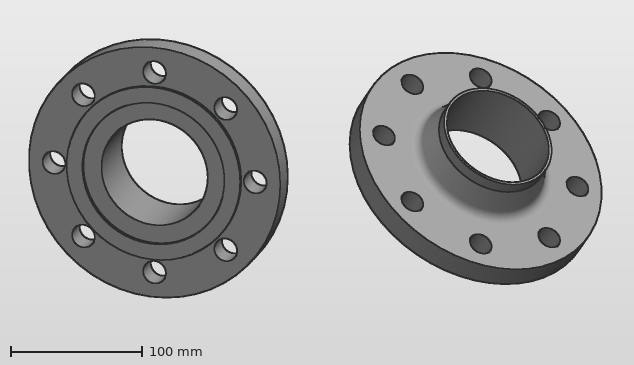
import cadquery as cq

flange_diameter = 200.0
flange_thickness = 20.0
face_diameter = 138.0
face_height = 3.0
recess_diameter = 113.0
recess_depth = 3.0
bore_diameter = 84.5

total_length = 56.0
neck_diameter = 89.0
neck_length = 10.0
hub_base_diameter = 105.0
hub_fillet = 8.0

bolt_count = 8
bolt_circle_diameter = 160.0
bolt_hole_diameter = 18.0

flange_front = face_height
flange_back = flange_front + flange_thickness
neck_start = total_length - neck_length


def disc(diameter, start, end):
    """Cylinder about the Y axis from y = start to y = end."""
    plane = cq.Plane(origin=(0, start, 0), xDir=(1, 0, 0), normal=(0, 1, 0))
    return cq.Workplane(plane).circle(diameter / 2).extrude(end - start)


def flange_body():
    """Revolved plate, raised face, tapered hub and weld neck."""
    profile = (
        cq.Workplane("XY")
        .polyline([
            (0, 0),
            (face_diameter / 2, 0),
            (face_diameter / 2, flange_front),
            (flange_diameter / 2, flange_front),
            (flange_diameter / 2, flange_back),
            (hub_base_diameter / 2, flange_back),
            (neck_diameter / 2, neck_start),
            (neck_diameter / 2, total_length),
            (0, total_length),
        ])
        .close()
    )
    body = profile.revolve(360, (0, 0, 0), (0, 1, 0))
    root_edges = (
        body.edges("%CIRCLE")
        .filter(lambda edge: abs(edge.Center().y - flange_back) < 0.002)
        .sort(lambda edge: edge.radius())[0]
    )
    return root_edges.fillet(hub_fillet)


def bolt_holes():
    """Ring of through holes with one hole on the +X axis."""
    plane = cq.Plane(origin=(0, flange_front, 0), xDir=(1, 0, 0), normal=(0, 1, 0))
    return (
        cq.Workplane(plane)
        .polarArray(bolt_circle_diameter / 2, 0, 360, bolt_count)
        .circle(bolt_hole_diameter / 2)
        .extrude(flange_thickness)
    )


result = (
    flange_body()
    .cut(disc(bore_diameter, 0, total_length))
    .cut(disc(recess_diameter, 0, recess_depth))
    .cut(bolt_holes())
)